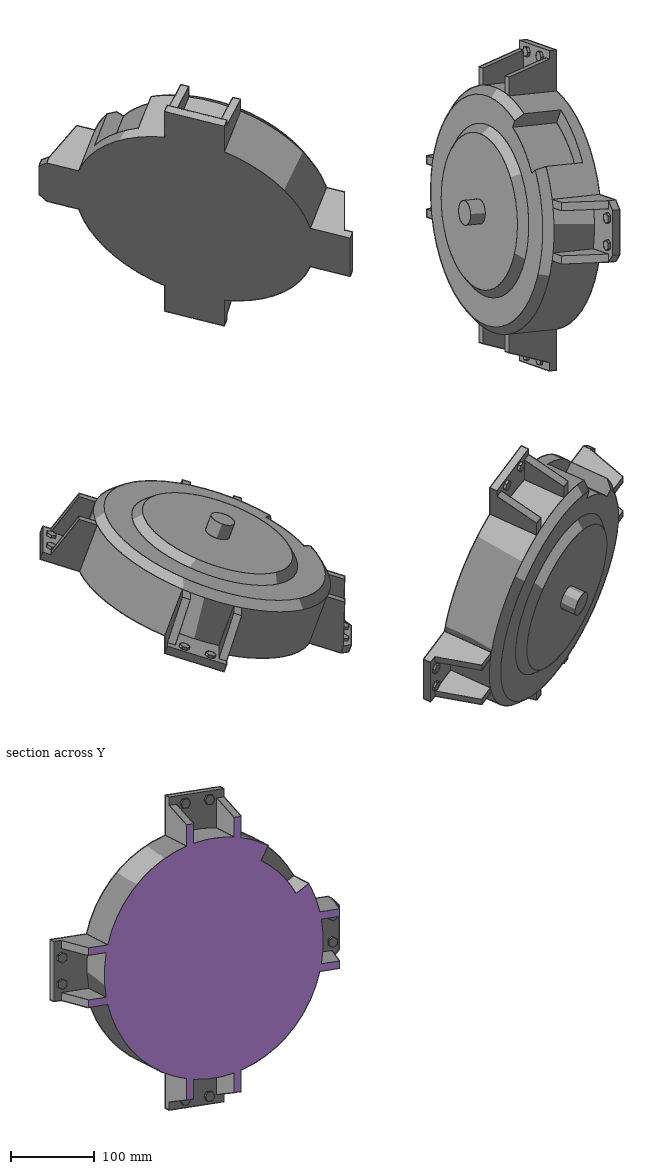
import cadquery as cq

BODY_RADIUS = 150.0
BODY_DEPTH = 65.0
STEP_DEPTH = 10.0
CHAMFER_RUN = 10.0
CAP_RADIUS = 105.0
SHAFT_RADIUS = 15.0
SHAFT_LENGTH = 20.0
SHOULDER_DEPTH = BODY_DEPTH + STEP_DEPTH
CAP_DEPTH = SHOULDER_DEPTH + STEP_DEPTH
OVERALL_DEPTH = CAP_DEPTH + SHAFT_LENGTH

ARM_ANGLES = (0, 90, 180, 270)
ARM_SPAN = 390.47
ARM_REACH = ARM_SPAN / 2
ARM_WIDTH = 75.0
FLANGE_THICKNESS = 10.0
RIB_THICKNESS = 10.0
RIB_TOP_REACH = 168.0
RIB_FOOT_REACH = 185.0
KEYED_ARM_CORNER = 10.0

HEAD_CORNER_DIAMETER = 13.0
HEAD_HEIGHT = 3.5
HEAD_SPACING = 33.0
HEAD_REACH = RIB_FOOT_REACH

RECESS_FLOOR_RADIUS = 130.0
RECESS_START_DEPTH = 15.0
RECESS_START_ANGLE = 120.0
RECESS_SPAN = 30.0


def make_housing():
    """Stepped, chamfered disc with its shaft, turned about the Y axis."""
    profile = (
        cq.Workplane("XY")
        .lineTo(BODY_RADIUS, 0)
        .lineTo(BODY_RADIUS, BODY_DEPTH)
        .lineTo(BODY_RADIUS - CHAMFER_RUN, SHOULDER_DEPTH)
        .lineTo(CAP_RADIUS, SHOULDER_DEPTH)
        .lineTo(CAP_RADIUS - CHAMFER_RUN, CAP_DEPTH)
        .lineTo(SHAFT_RADIUS, CAP_DEPTH)
        .lineTo(SHAFT_RADIUS, OVERALL_DEPTH)
        .lineTo(0, OVERALL_DEPTH)
        .close()
    )
    return profile.revolve(360, (0, 0, 0), (0, 1, 0))


def make_rib(z_start):
    """Sloped rib of the +X arm, filling from z_start over one rib thickness."""
    return (
        cq.Workplane("XY", origin=(0, 0, z_start))
        .lineTo(RIB_FOOT_REACH, 0)
        .lineTo(RIB_FOOT_REACH, FLANGE_THICKNESS)
        .lineTo(RIB_TOP_REACH, BODY_DEPTH)
        .lineTo(0, BODY_DEPTH)
        .close()
        .extrude(RIB_THICKNESS)
    )


def make_arm():
    """Arm pointing along +X."""
    half_width = ARM_WIDTH / 2
    arm = cq.Workplane("XY").box(
        ARM_REACH, FLANGE_THICKNESS, ARM_WIDTH, centered=(False, False, True)
    )
    for z_start in (-half_width, half_width - RIB_THICKNESS):
        arm = arm.union(make_rib(z_start))
    heads = (
        cq.Workplane("ZX")
        .pushPoints([(side * HEAD_SPACING / 2, HEAD_REACH) for side in (-1, 1)])
        .polygon(6, HEAD_CORNER_DIAMETER)
        .extrude(FLANGE_THICKNESS + HEAD_HEIGHT)
    )
    return arm.union(heads)


def cut_keyed_corners(part):
    """Bevel both outer corners of the -X arm."""
    half_width = ARM_WIDTH / 2
    for side in (-1, 1):
        corner = (
            cq.Workplane("XZ")
            .moveTo(-ARM_REACH, side * half_width)
            .lineTo(-ARM_REACH + KEYED_ARM_CORNER, side * half_width)
            .lineTo(-ARM_REACH, side * (half_width - KEYED_ARM_CORNER))
            .close()
            .extrude(-FLANGE_THICKNESS)
        )
        part = part.cut(corner)
    return part


def make_recess_cutter():
    """Ring sector with radial ends that opens the rim outward and toward the shaft side."""
    cutter_radius = BODY_RADIUS + CHAMFER_RUN
    return (
        cq.Workplane("XY")
        .moveTo(RECESS_FLOOR_RADIUS, RECESS_START_DEPTH)
        .lineTo(cutter_radius, RECESS_START_DEPTH)
        .lineTo(cutter_radius, SHOULDER_DEPTH)
        .lineTo(RECESS_FLOOR_RADIUS, SHOULDER_DEPTH)
        .close()
        .revolve(RECESS_SPAN, (0, 0, 0), (0, -1, 0))
        .rotate((0, 0, 0), (0, -1, 0), RECESS_START_ANGLE)
    )


result = make_housing()
for angle in ARM_ANGLES:
    result = result.union(make_arm().rotate((0, 0, 0), (0, 1, 0), angle))
result = cut_keyed_corners(result)
result = result.cut(make_recess_cutter())